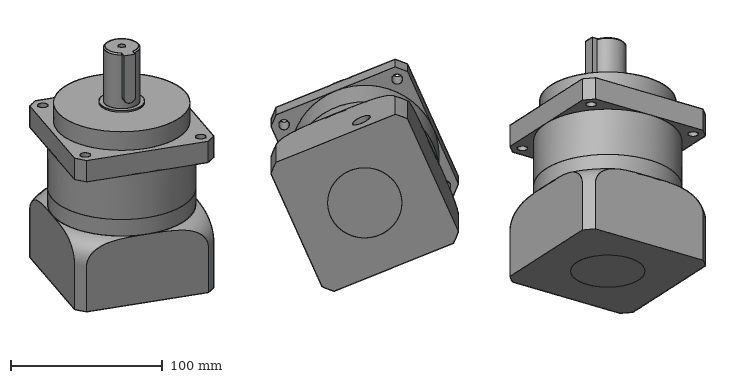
import cadquery as cq
import math

HEIGHT = 165.5
BODY_WIDTH = 98.0
DRUM_RADIUS = BODY_WIDTH / 2

CORNER_RADIUS = 65.0
CORNER_TOP = 33.6
CROWN_RADIUS = 16.2
CROWN_TOP = CORNER_TOP + CROWN_RADIUS
ADAPTER_TOP = 61.9
ACCESS_HOLE_DIAMETER = 12.5
ACCESS_HOLE_Y = -18.5
ACCESS_HOLE_HEIGHT = 15.5

HUB_RADIUS = 24.5

FLANGE_BOTTOM = 95.0
FLANGE_TOP = 110.5
FLANGE_CHAMFER = 6.3
FLANGE_HOLE_DIAMETER = 7.0
FLANGE_HOLE_SPACING = 81.1
PILOT_RADIUS = 45.0
PILOT_TOP = 124.1

COLLAR_RADIUS = 15.0
COLLAR_TOP = 125.3
SHAFT_RADIUS = 12.0
SHAFT_CHAMFER = 1.0
KEY_WIDTH = 8.1
KEY_OUTER_X = 15.0
KEY_BOTTOM = 130.2
CENTER_HOLE_RADIUS = 2.5
CENTER_HOLE_DEPTH = 10.0
CENTER_HOLE_TIP_ANGLE = 118


def cylinder(radius, bottom, top):
    """Cylinder about the Z axis between two heights."""
    return cq.Workplane("XY").workplane(offset=bottom).circle(radius).extrude(top - bottom)


def square_plate(bottom, top):
    """Square of the full body width between two heights."""
    return cq.Workplane("XY").workplane(offset=bottom).rect(BODY_WIDTH, BODY_WIDTH).extrude(top - bottom)


def make_access_hole():
    """Hole through the -X wall that reaches the input hub off center."""
    return (
        cq.Workplane("YZ")
        .workplane(offset=-BODY_WIDTH / 2)
        .center(ACCESS_HOLE_Y, ACCESS_HOLE_HEIGHT)
        .circle(ACCESS_HOLE_DIAMETER / 2)
        .extrude(BODY_WIDTH / 2)
    )


def make_adapter():
    """Square block, rounded by a domed cylinder, with a drum on top and a bore for the hub."""
    domed_cylinder = cylinder(CORNER_RADIUS, 0, CROWN_TOP).faces(">Z").edges().fillet(CROWN_RADIUS)
    block = square_plate(0, CROWN_TOP).intersect(domed_cylinder)
    drum = cylinder(DRUM_RADIUS, CROWN_TOP, ADAPTER_TOP)
    bore = cylinder(HUB_RADIUS, 0, ADAPTER_TOP)
    return block.union(drum).cut(bore).cut(make_access_hole())


def make_flange():
    """Square flange with chamfered corners and four through holes."""
    return (
        square_plate(FLANGE_BOTTOM, FLANGE_TOP)
        .edges("|Z")
        .chamfer(FLANGE_CHAMFER)
        .faces(">Z")
        .workplane()
        .rect(FLANGE_HOLE_SPACING, FLANGE_HOLE_SPACING, forConstruction=True)
        .vertices()
        .hole(FLANGE_HOLE_DIAMETER)
    )


def make_key():
    """Key on the +X side of the shaft, round at its lower end and flush with the shaft top."""
    half_width = KEY_WIDTH / 2
    straight_bottom = KEY_BOTTOM + half_width
    return (
        cq.Workplane("YZ")
        .moveTo(-half_width, HEIGHT)
        .lineTo(-half_width, straight_bottom)
        .threePointArc((0, KEY_BOTTOM), (half_width, straight_bottom))
        .lineTo(half_width, HEIGHT)
        .close()
        .extrude(KEY_OUTER_X)
    )


def make_center_hole():
    """Blind hole with a conical drill tip in the end of the shaft."""
    tip_length = CENTER_HOLE_RADIUS / math.tan(math.radians(CENTER_HOLE_TIP_ANGLE / 2))
    wall_bottom = HEIGHT - CENTER_HOLE_DEPTH
    half_section = [
        (0, HEIGHT),
        (CENTER_HOLE_RADIUS, HEIGHT),
        (CENTER_HOLE_RADIUS, wall_bottom),
        (0, wall_bottom - tip_length),
    ]
    return cq.Workplane("XZ").polyline(half_section).close().revolve(360, (0, 0), (0, 1))


def make_output_shaft():
    """Chamfered shaft with its key and center hole."""
    shaft = cylinder(SHAFT_RADIUS, COLLAR_TOP, HEIGHT).faces(">Z").chamfer(SHAFT_CHAMFER)
    return shaft.union(make_key()).cut(make_center_hole())


def make_gearbox():
    """Input hub, drum, flange, pilot, collar and output shaft, stacked along Z."""
    return (
        cylinder(HUB_RADIUS, 0, ADAPTER_TOP)
        .union(cylinder(DRUM_RADIUS, ADAPTER_TOP, FLANGE_BOTTOM))
        .union(make_flange())
        .union(cylinder(PILOT_RADIUS, FLANGE_TOP, PILOT_TOP))
        .union(cylinder(COLLAR_RADIUS, PILOT_TOP, COLLAR_TOP))
        .union(make_output_shaft())
    )


adapter = make_adapter()
gearbox = make_gearbox()
result = cq.Compound.makeCompound([adapter.solids().val(), gearbox.solids().val()])